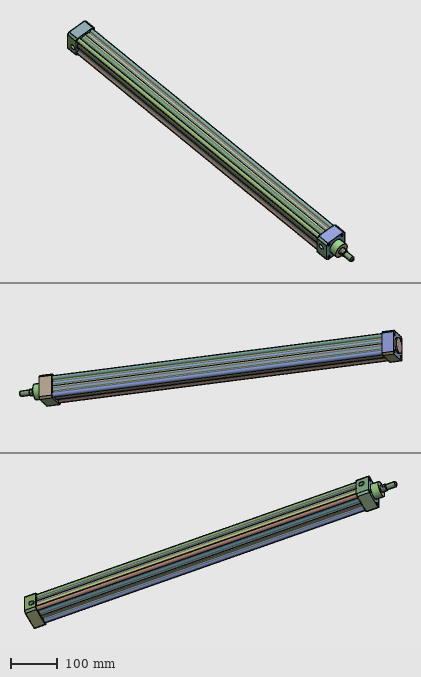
import cadquery as cq
import math


rear_cap_start = 3.5
rear_cap_end = 29.0
front_cap_start = 781.0
front_cap_end = 809.5
front_boss_end = 828.0
rod_tip = 863.0

cap_side = 54.0
cap_chamfer = 4.75
boss_radius = 17.0
screw_offset = 19.0
screw_hole_radius = 3.0
screw_hole_depth = 13.0
port_radius = 6.0
port_depth = 9.0
port_rise = 5.0
rear_port_x = 20.0
front_port_x = 793.0

tube_radius = 22.5
lobe_radius = 5.0
lobe_fillet = 3.0
ridge_half_width = 4.0
ridge_slope = 12.5

rod_radius = 8.2
neck_radius = 7.4
thread_radius = 6.0
rod_shoulder = 830.0
neck_start = 833.0
neck_end = 839.0
thread_start = 840.5
tip_chamfer = 3.0
flat_offset = 6.6


def disc(start, end, radius):
    """Cylinder on the axis between two places along X."""
    return cq.Workplane("YZ", origin=(start, 0, 0)).circle(radius).extrude(end - start)


def four_bars(start, radius, length):
    """Four round bars along X on the screw axes; a negative length runs toward -X."""
    side = 2 * screw_offset
    square = cq.Workplane("YZ", origin=(start, 0, 0)).rect(side, side, forConstruction=True)
    return square.vertices().circle(radius).extrude(length)


def port(x, z):
    """Blind port drilled from the -Y face of a cap."""
    face = cq.Workplane("XZ", origin=(x, -cap_side / 2, z))
    return face.circle(port_radius).extrude(-port_depth)


def cap_block(start, end):
    """Square cap with its four lengthwise edges chamfered."""
    block = cq.Workplane("YZ", origin=(start, 0, 0)).rect(cap_side, cap_side).extrude(end - start)
    return block.edges("|X").chamfer(cap_chamfer)


def make_rear_cap():
    """Rear cap with a thin centring boss and a port."""
    cap = cap_block(rear_cap_start, rear_cap_end).union(disc(0, rear_cap_start, boss_radius))
    screw_holes = four_bars(rear_cap_start, screw_hole_radius, screw_hole_depth)
    return cap.cut(screw_holes).cut(port(rear_port_x, -port_rise))


def make_front_cap():
    """Front cap with the rod boss and a port."""
    cap = cap_block(front_cap_start, front_cap_end).union(disc(front_cap_end, front_boss_end, boss_radius))
    screw_holes = four_bars(front_cap_end, screw_hole_radius, -screw_hole_depth)
    return cap.cut(screw_holes).cut(port(front_port_x, port_rise))


def make_barrel():
    """Round tube with a filleted lobe at each corner and a low roof-shaped ridge on each side."""
    length = front_cap_start - rear_cap_end
    barrel = disc(rear_cap_end, front_cap_start, tube_radius)
    barrel = barrel.union(four_bars(rear_cap_end, lobe_radius, length))

    creases = cq.selectors.BoxSelector(
        (rear_cap_end, -tube_radius, -tube_radius), (front_cap_start, tube_radius, tube_radius)
    )
    barrel = barrel.edges("|X").edges(creases).fillet(lobe_fillet)

    ridge_foot = math.sqrt(tube_radius**2 - ridge_half_width**2)
    ridge_top = ridge_foot + ridge_half_width * math.tan(math.radians(ridge_slope))
    ridge = (
        cq.Workplane("YZ", origin=(rear_cap_end, 0, 0))
        .lineTo(ridge_foot, -ridge_half_width)
        .lineTo(ridge_top, 0)
        .lineTo(ridge_foot, ridge_half_width)
        .close()
        .extrude(length)
    )
    for quarter in range(4):
        barrel = barrel.union(ridge.rotate((0, 0, 0), (1, 0, 0), 90 * quarter))
    return barrel


def make_rod():
    """Turned rod end with shoulder, flatted neck and plain thread."""
    turned = (
        cq.Workplane("XY")
        .moveTo(front_boss_end, 0)
        .lineTo(front_boss_end, rod_radius)
        .lineTo(rod_shoulder, rod_radius)
        .lineTo(neck_start, neck_radius)
        .lineTo(neck_end, neck_radius)
        .lineTo(thread_start, thread_radius)
        .lineTo(rod_tip - tip_chamfer, thread_radius)
        .lineTo(rod_tip, thread_radius - tip_chamfer)
        .lineTo(rod_tip, 0)
        .close()
        .revolve(360, (0, 0, 0), (1, 0, 0))
    )
    neck_length = neck_end - neck_start
    for side in (-1, 1):
        waste = cq.Workplane("XY").box(neck_length, neck_radius, 2 * neck_radius)
        waste_y = side * (flat_offset + neck_radius / 2)
        turned = turned.cut(waste.translate((neck_start + neck_length / 2, waste_y, 0)))
    return turned


rear_cap = make_rear_cap()
barrel = make_barrel()
front_cap = make_front_cap()
rod = make_rod()

bodies = [rear_cap, barrel, front_cap, rod]
result = cq.Compound.makeCompound([body.solids().val() for body in bodies])